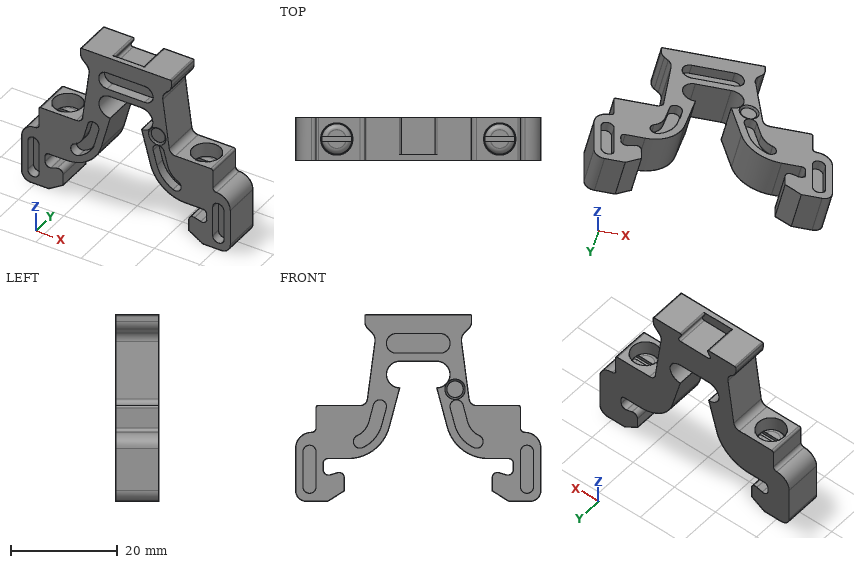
import cadquery as cq
import math

thickness = 8.1
front_y = -thickness / 2
back_y = thickness / 2
half_width = 23.0
height = 35.0

head_half_width = 10.05
head_edge_radius = 0.28
head_lip_z = 32.95
head_round_radius = 2.0
neck_top_x = 8.0
neck_top_z = head_lip_z - (head_half_width - neck_top_x)
neck_foot_x = 9.7

shoulder_x = 19.2
shoulder_z = 18.0
shoulder_root_radius = 1.4
shoulder_edge_radius = 0.45
arm_z = 12.95
arm_round_radius = 3.05
arm_root_radius = half_width - shoulder_x - arm_round_radius
arm_foot_radius = 2.02

hook_x = 13.85
hook_foot_x = 16.97
hook_foot_z = 2.0
hook_tip_z = 5.8
hook_root_z = 4.6
hook_wall_x = 17.8
hook_radius = 1.0
hook_top_radius = 0.85
underside_z = 8.0

flank_angle = math.radians(15)
flank_radius = 8.0
opening_radius = 2.5
opening_center_x = 3.45
opening_top_z = 26.25
opening_bottom_z = opening_top_z - 2 * opening_radius
opening_end_x = opening_center_x + opening_radius
flank_foot_x = opening_center_x + (opening_bottom_z - underside_z) * math.tan(flank_angle)

head_slot_half_length = 6.0
head_slot_width = 3.7
head_slot_z = 29.62
head_slot_depth = 2.02
arm_slot_length = 9.0
arm_slot_width = 2.5
arm_slot_x = 20.4
arm_slot_z = 6.03
leg_slot_depth = 2.02
curved_slot_width = 2.5
curved_slot_inset = 2.7
curved_slot_straight = 3.25
curved_slot_sweep = math.radians(50)

notch_half_width = 2.95
notch_depth = 2.15
notch_length = 7.0
notch_flank_angle = math.radians(60)
notch_edge_radius = 0.3
notch_root_radius = 0.45
notch_overcut = 0.45

screw_x = 15.25
screw_hole_diameter = 6.05
screw_hole_depth = 4.0
screw_head_diameter = 5.7
screw_head_sink = 2.4
screw_head_round = 1.1
screw_slot_width = 1.0
screw_slot_depth = 0.7

recess_x = 6.9
recess_z = 21.0
recess_mouth_diameter = 3.8
recess_middle_diameter = 3.45
recess_floor_diameter = 3.1
recess_middle_depth = 0.25
recess_floor_depth = 0.35


shortest_line = 4.6e-07


def rounded_outline(plane, corners):
    """Closed outline through (x, z, radius) corners, each rounded by its radius."""
    path = None
    current = None
    for index, (x, z, radius) in enumerate(corners):
        corner = cq.Vector(x, z)
        to_last = (cq.Vector(*corners[index - 1][:2]) - corner).normalized()
        to_next = (cq.Vector(*corners[(index + 1) % len(corners)][:2]) - corner).normalized()
        half_angle = to_last.getAngle(to_next) / 2
        setback = radius / math.tan(half_angle)
        start = corner + to_last * setback
        end = corner + to_next * setback
        if path is None:
            path = plane.moveTo(start.x, start.y)
        elif (start - current).Length > shortest_line:
            path = path.lineTo(start.x, start.y)
        if radius > 0:
            bisector = (to_last + to_next).normalized()
            middle = corner + bisector * (radius / math.sin(half_angle) - radius)
            path = path.threePointArc((middle.x, middle.y), (end.x, end.y))
        current = end
    return path.close()


def xz_plane(y):
    """Plane at the given Y whose local axes are X and Z; positive extrusion runs toward -Y."""
    return cq.Workplane("XZ", origin=(0, y, 0))


def both_sides(shape):
    return shape.union(shape.mirror("YZ"))


def body():
    half_outline = [
        (0, height, 0),
        (head_half_width, height, head_edge_radius),
        (head_half_width, head_lip_z, head_round_radius),
        (neck_top_x, neck_top_z, head_round_radius),
        (neck_foot_x, shoulder_z, shoulder_root_radius),
        (shoulder_x, shoulder_z, shoulder_edge_radius),
        (shoulder_x, arm_z, arm_root_radius),
        (half_width, arm_z, arm_round_radius),
        (half_width, 0, arm_foot_radius),
        (hook_foot_x, 0, 0),
        (hook_x, hook_foot_z, 0),
        (hook_x, hook_tip_z, hook_radius),
        (hook_wall_x, hook_root_z, hook_radius),
        (hook_wall_x, underside_z, hook_top_radius),
        (flank_foot_x, underside_z, flank_radius),
        (opening_center_x, opening_bottom_z, 0),
        (opening_end_x, opening_bottom_z, opening_radius),
        (opening_end_x, opening_top_z, opening_radius),
        (0, opening_top_z, 0),
    ]
    return both_sides(rounded_outline(xz_plane(back_y), half_outline).extrude(thickness))


def head_slot():
    outline = xz_plane(front_y).center(0, head_slot_z).slot2D(2 * head_slot_half_length, head_slot_width)
    return outline.extrude(-head_slot_depth)


def arm_slots():
    outline = xz_plane(front_y).center(arm_slot_x, arm_slot_z).slot2D(arm_slot_length, arm_slot_width, 90)
    return both_sides(outline.extrude(-leg_slot_depth))


def curved_slots():
    """Slots that follow the inner flank and its round at a constant inset."""
    center_x = flank_foot_x + flank_radius * math.tan((math.pi / 2 - flank_angle) / 2)
    center_z = underside_z + flank_radius
    mid_radius = flank_radius - curved_slot_inset
    start = math.pi + flank_angle
    end = start + curved_slot_sweep

    def on_path(angle, offset, along=0.0):
        """Point offset outward from the slot's middle line and shifted up along the flank."""
        radius = mid_radius + offset
        x = center_x + radius * math.cos(angle) - along * math.sin(flank_angle)
        z = center_z + radius * math.sin(angle) + along * math.cos(flank_angle)
        return (x, z)

    half = curved_slot_width / 2
    top_middle = on_path(start, 0, curved_slot_straight + half)
    end_middle_x, end_middle_z = on_path(end, 0)
    end_cap = (end_middle_x - half * math.sin(end), end_middle_z + half * math.cos(end))
    outline = (
        xz_plane(front_y)
        .moveTo(*on_path(start, half, curved_slot_straight))
        .lineTo(*on_path(start, half))
        .threePointArc(on_path((start + end) / 2, half), on_path(end, half))
        .threePointArc(end_cap, on_path(end, -half))
        .threePointArc(on_path((start + end) / 2, -half), on_path(start, -half))
        .lineTo(*on_path(start, -half, curved_slot_straight))
        .threePointArc(top_middle, on_path(start, half, curved_slot_straight))
        .close()
    )
    return both_sides(outline.extrude(-leg_slot_depth))


def top_notch():
    """Undercut notch; its half is drawn with the rounded lip flaring out at the top face."""
    floor_z = height - notch_depth
    floor_half_width = notch_half_width + notch_depth / math.tan(notch_flank_angle)
    lip_end_x = 2 * floor_half_width
    half_outline = [
        (0, floor_z, 0),
        (floor_half_width, floor_z, notch_root_radius),
        (notch_half_width, height, notch_edge_radius),
        (lip_end_x, height, 0),
        (lip_end_x, height + notch_overcut, 0),
        (0, height + notch_overcut, 0),
    ]
    return both_sides(rounded_outline(xz_plane(back_y), half_outline).extrude(notch_length))


def screw_holes():
    top = cq.Workplane("XY", origin=(screw_x, 0, shoulder_z))
    return both_sides(top.circle(screw_hole_diameter / 2).extrude(-screw_hole_depth))


def screw_heads():
    floor = cq.Workplane("XY", origin=(screw_x, 0, shoulder_z - screw_hole_depth))
    head = floor.circle(screw_head_diameter / 2).extrude(screw_hole_depth - screw_head_sink)
    head = head.faces(">Z").edges().fillet(screw_head_round)
    slot_outline = head.faces(">Z").workplane().rect(screw_head_diameter, screw_slot_width)
    slot = slot_outline.extrude(-screw_slot_depth, combine=False)
    return both_sides(head.cut(slot))


def front_recess():
    section = [
        (0, 0),
        (recess_mouth_diameter / 2, 0),
        (recess_middle_diameter / 2, recess_middle_depth),
        (recess_floor_diameter / 2, recess_floor_depth),
        (0, recess_floor_depth),
    ]
    plane = cq.Workplane("XY", origin=(recess_x, front_y, recess_z))
    return plane.polyline(section).close().revolve(360, (0, 0), (0, 1))


result = body()
for pocket in (head_slot(), arm_slots(), curved_slots(), top_notch(), screw_holes(), front_recess()):
    result = result.cut(pocket)
result = result.union(screw_heads())